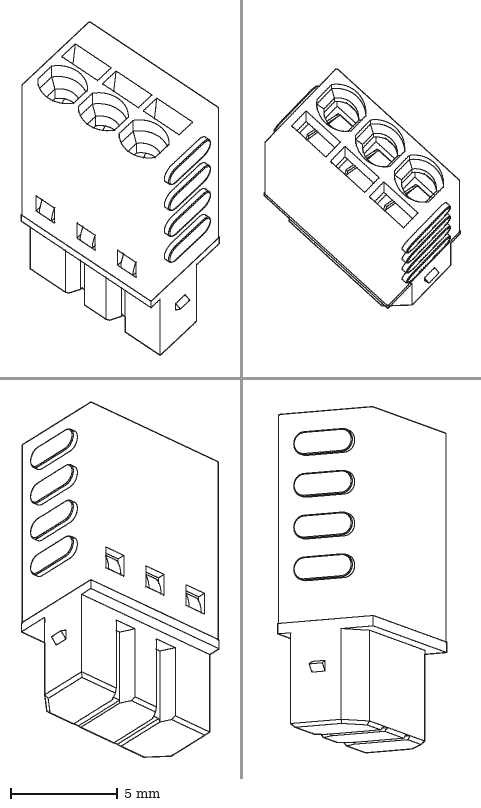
import cadquery as cq
import math


pitch = 2.5
pole_xs = [-pitch, 0, pitch]

width = 8.0
depth = 5.0
height = 15.0

plug_top = 4.5
plug_half_depth = 1.83
flange_thickness = 0.5
plug_corner_chamfer = 1.0
plug_bottom_chamfer = 0.16
groove_center_x = pitch / 2
groove_half_mouth = 0.58
groove_half_floor = 0.22
groove_depth = 0.69
groove_top = 3.98
gap_flare = 0.08

latch_reach = 0.3
latch_y = -0.36
latch_width = 0.69
latch_bottom = 2.54
latch_tip_z = 2.88
latch_top = 3.05

housing_bottom = plug_top + flange_thickness
housing_fillet = 0.1

pad_length = 3.06
pad_height = 1.1
pad_reach = 0.3
pad_edge_chamfer = 0.05
pad_count = 4
pad_spacing = 2.0
lowest_pad_z = 7.47

cavity_half_width = 0.95
cavity_front_y = -1.95
cavity_back_y = 0.81
cavity_floor = 10.5
cavity_top = 12.9

slot_width = 2.2
slot_front_y = 0.02
slot_back_y = 1.0
slot_lean_depth = 1.59

funnel_y = -1.23
funnel_half_width = slot_width / 2
funnel_half_length = 1.05
funnel_half_flat = 0.51
funnel_neck_scale = 0.71
funnel_rim_depth = 0.84
funnel_cone_depth = 0.52

lever_width = 1.5
lever_top = 12.6
lever_bend_y = -0.8
lever_front_y = -1.72
lever_upper_angle = 43.0
lever_lower_angle = 28.0
cheek_thickness = 0.1
cheek_back_y = 0.68
cheek_peak_y = 0.4
cheek_peak_z = 12.75

window_width = 1.12
window_bottom = 6.06
window_height = 1.15
window_depth = 0.4
contact_width = 0.75
contact_height = 0.93
contact_radius = 1.85
contact_axis_z = 6.0


def at_poles(shape):
    """One copy of a shape, modelled at X = 0, for each pole."""
    return [shape.translate((x, 0, 0)) for x in pole_xs]


def side_profile(outline, thickness, start_x):
    """A prism along +X from a closed outline of (y, z) points."""
    return cq.Workplane("YZ", origin=(start_x, 0, 0)).polyline(outline).close().extrude(thickness)



def plug_block():
    block = cq.Workplane("XY").rect(width, 2 * plug_half_depth).extrude(plug_top)
    block = block.edges("|Z and >Y").chamfer(plug_corner_chamfer)
    return block.faces("<Z").chamfer(plug_bottom_chamfer)


def plug_groove(side):
    """Sloped-wall groove in the front of the plug, with a low gap below its floor."""
    front = -plug_half_depth
    mouth = [
        (-groove_half_mouth, front),
        (groove_half_mouth, front),
        (groove_half_floor, front + groove_depth),
        (-groove_half_floor, front + groove_depth),
    ]
    groove = cq.Workplane("XY").polyline(mouth).close().extrude(groove_top)
    gap_outline = [
        (-side * groove_half_floor, 0),
        (side * groove_half_floor, 0),
        (side * (groove_half_floor - gap_flare), plug_bottom_chamfer),
        (-side * groove_half_floor, plug_bottom_chamfer),
    ]
    gap = cq.Workplane("XZ").polyline(gap_outline).close().extrude(plug_half_depth, both=True)
    return groove.union(gap).translate((side * groove_center_x, 0, 0))


def latch_nose(side):
    half = side * width / 2
    outline = [
        (half, latch_bottom),
        (half + side * latch_reach, latch_tip_z),
        (half, latch_top),
    ]
    nose = cq.Workplane("XZ").polyline(outline).close().extrude(latch_width / 2, both=True)
    return nose.translate((0, latch_y, 0))


def make_plug():
    flange = cq.Workplane("XY", origin=(0, 0, plug_top)).rect(width, depth).extrude(flange_thickness)
    plug = plug_block().union(flange)
    for side in (-1, 1):
        plug = plug.cut(plug_groove(side)).union(latch_nose(side))
    return plug



def release_slot():
    outline = [
        (slot_front_y, cavity_top),
        (slot_front_y, height),
        (slot_back_y, height),
        (cavity_back_y, height - slot_lean_depth),
        (cavity_back_y, cavity_top),
    ]
    return side_profile(outline, slot_width, -slot_width / 2)


def flattened_round(base, scale):
    """Outline with straight left and right sides and an arc at the front and back."""
    x = funnel_half_width * scale
    flat = funnel_half_flat * scale
    tip = funnel_half_length * scale
    outline = base.moveTo(x, -flat).lineTo(x, flat).threePointArc((0, tip), (-x, flat))
    return outline.lineTo(-x, -flat).threePointArc((0, -tip), (x, -flat)).close()


def wire_funnel():
    cone_top = height - funnel_rim_depth
    cone_bottom = cone_top - funnel_cone_depth
    rim_plane = cq.Workplane("XY", origin=(0, funnel_y, cone_top))
    rim = flattened_round(rim_plane, 1).extrude(funnel_rim_depth)
    cone_start = flattened_round(rim_plane, 1)
    cone_end = cone_start.workplane(offset=-funnel_cone_depth)
    cone = flattened_round(cone_end, funnel_neck_scale).loft(ruled=True)
    neck_plane = cq.Workplane("XY", origin=(0, funnel_y, cavity_top))
    neck = flattened_round(neck_plane, funnel_neck_scale).extrude(cone_bottom - cavity_top)
    return rim.union(cone).union(neck)


def clamp_cavity():
    outline = [
        (cavity_front_y, cavity_floor),
        (cavity_back_y, cavity_floor),
        (cavity_back_y, cavity_top),
        (cavity_front_y, cavity_top),
    ]
    return side_profile(outline, 2 * cavity_half_width, -cavity_half_width)


def test_window():
    outline = [
        (-depth / 2, window_bottom),
        (window_depth - depth / 2, window_bottom),
        (window_depth - depth / 2, window_bottom + window_height),
        (-depth / 2, window_bottom + window_height),
    ]
    return side_profile(outline, window_width, -window_width / 2)


def grip_pad(side, z):
    base = cq.Workplane("YZ", origin=(side * width / 2, 0, z))
    pad = base.slot2D(pad_length, pad_height).extrude(side * pad_reach)
    outer_face = ">X" if side > 0 else "<X"
    return pad.faces(outer_face).chamfer(pad_edge_chamfer)


def make_housing():
    base = cq.Workplane("XY", origin=(0, 0, housing_bottom)).rect(width, depth)
    block = base.extrude(height - housing_bottom)
    housing = block.edges("|Z or >Z").fillet(housing_fillet)
    for feature in (clamp_cavity(), release_slot(), wire_funnel(), test_window()):
        for cutter in at_poles(feature):
            housing = housing.cut(cutter)
    for side in (-1, 1):
        for i in range(pad_count):
            housing = housing.union(grip_pad(side, lowest_pad_z + i * pad_spacing))
    return housing



def make_lever():
    """Block with a two-slope top, and a thin peaked cheek on its +X side."""
    bend_z = lever_top - (cavity_back_y - lever_bend_y) * math.tan(math.radians(lever_upper_angle))
    front_z = bend_z - (lever_bend_y - lever_front_y) * math.tan(math.radians(lever_lower_angle))
    body_outline = [
        (cavity_back_y, cavity_floor),
        (cavity_back_y, lever_top),
        (lever_bend_y, bend_z),
        (lever_front_y, front_z),
        (lever_front_y, cavity_floor),
    ]
    body = side_profile(body_outline, lever_width, -cavity_half_width)
    cheek_outline = [
        (cheek_back_y, cavity_floor),
        (cheek_peak_y, cheek_peak_z),
        (lever_front_y, cavity_floor),
    ]
    cheek = side_profile(cheek_outline, cheek_thickness, lever_width - cavity_half_width)
    return body.union(cheek)



def make_contact():
    """Segment with a convex cylindrical front, standing on the sill against the back of a window."""
    axis_y = contact_radius - depth / 2
    back_y = window_depth - depth / 2

    def front_y(z):
        return axis_y - math.sqrt(contact_radius**2 - (z - contact_axis_z) ** 2)

    top_z = window_bottom + contact_height
    middle_z = window_bottom + contact_height / 2
    profile = (
        cq.Workplane("YZ", origin=(-contact_width / 2, 0, 0))
        .moveTo(back_y, window_bottom)
        .lineTo(front_y(window_bottom), window_bottom)
        .threePointArc((front_y(middle_z), middle_z), (front_y(top_z), top_z))
        .lineTo(back_y, top_z)
        .close()
    )
    return profile.extrude(contact_width)


plug = make_plug()
housing = make_housing()
levers = at_poles(make_lever())
contacts = at_poles(make_contact())

result = cq.Compound.makeCompound(
    [body.val() for body in (plug, housing, *levers, *contacts)]
)